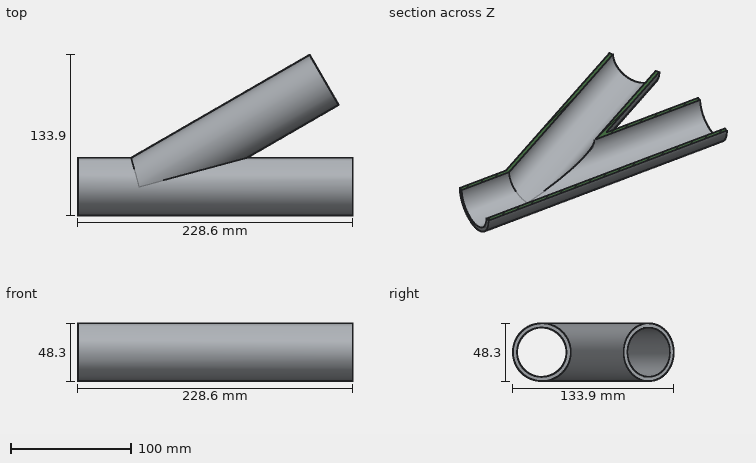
import cadquery as cq
import math

OUTER_DIAMETER = 48.26
INNER_DIAMETER = 40.89

RUN_LENGTH = 228.6

BRANCH_OFFSET = 50.8
BRANCH_LENGTH = 177.8
BRANCH_ANGLE = 30.0


def run_cylinder(diameter):
    """Cylinder along X over the full length of the run."""
    return cq.Workplane("YZ").circle(diameter / 2).extrude(RUN_LENGTH)


def branch_cylinder(diameter):
    """Cylinder along the branch axis, starting where the axes meet."""
    angle = math.radians(BRANCH_ANGLE)
    branch_start = cq.Plane(
        origin=(BRANCH_OFFSET, 0, 0),
        xDir=(0, 0, 1),
        normal=(math.cos(angle), math.sin(angle), 0),
    )
    return cq.Workplane(branch_start).circle(diameter / 2).extrude(BRANCH_LENGTH)


outer_body = run_cylinder(OUTER_DIAMETER).union(branch_cylinder(OUTER_DIAMETER))
run_bored = outer_body.cut(run_cylinder(INNER_DIAMETER))
result = run_bored.cut(branch_cylinder(INNER_DIAMETER))